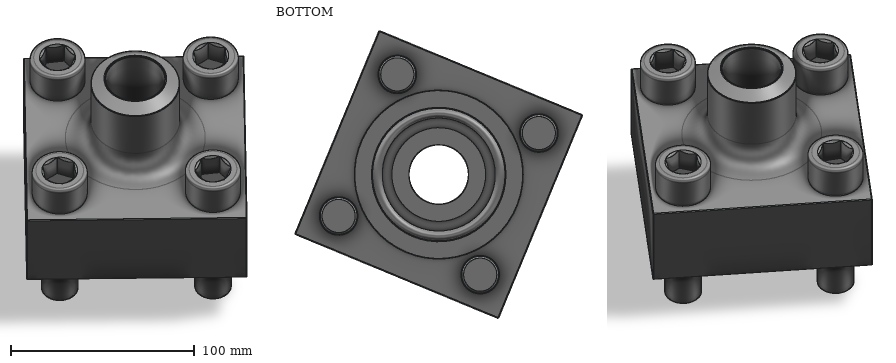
import cadquery as cq
import math

PATTERN_ANGLE = 22.5
FLANGE_SIDE = 120.0
FLANGE_HEIGHT = 48.0
EDGE_CHAMFER = 0.5

FACE_DIAMETER = 92.0
FACE_HEIGHT = 2.0

PIPE_DIAMETER = 48.3
BORE_DIAMETER = 32.2
PIPE_HEIGHT = 48.0
NECK_FILLET = 14.0
BEVEL_RIM_DIAMETER = 34.1
BEVEL_ANGLE = 30
EDGE_BREAK = 0.3

GROOVE_OUTER_DIAMETER = 73.2
GROOVE_INNER_DIAMETER = 51.0
SEAL_INNER_DIAMETER = 61.5
SEAL_SECTION_DIAMETER = 5.3
SEAL_PROTRUSION = 1.3

BOLT_COUNT = 4
BOLT_CIRCLE_DIAMETER = 118.0
BOLT_HOLE_DIAMETER = 21.0
SHANK_DIAMETER = 20.0
SHANK_LENGTH = 75.0
SHANK_CHAMFER = 1.0
HEAD_DIAMETER = 30.0
HEAD_HEIGHT = 20.0
HEAD_FILLET = 2.0
SOCKET_WIDTH = 17.0
SOCKET_RIM_DIAMETER = 19.5
SOCKET_CONE_ANGLE = 45
SOCKET_DEPTH = 13.0

PIPE_RADIUS = PIPE_DIAMETER / 2
PIPE_TOP = FLANGE_HEIGHT + PIPE_HEIGHT
BEVEL_RIM_RADIUS = BEVEL_RIM_DIAMETER / 2
BEVEL_HEIGHT = (PIPE_RADIUS - BEVEL_RIM_RADIUS) * math.tan(math.radians(BEVEL_ANGLE))

SEAL_SECTION_RADIUS = SEAL_SECTION_DIAMETER / 2
SEAL_CENTRE_RADIUS = SEAL_INNER_DIAMETER / 2 + SEAL_SECTION_RADIUS
SEAL_CENTRE_Z = SEAL_SECTION_RADIUS - SEAL_PROTRUSION - FACE_HEIGHT
GROOVE_DEPTH = SEAL_SECTION_DIAMETER - SEAL_PROTRUSION

FIRST_BOLT_ANGLE = PATTERN_ANGLE + 45
BOLT_ANGLES = [FIRST_BOLT_ANGLE + i * 360 / BOLT_COUNT for i in range(BOLT_COUNT)]


def make_block():
    """Square block with all its edges lightly chamfered."""
    block = cq.Workplane("XY").rect(FLANGE_SIDE, FLANGE_SIDE).extrude(FLANGE_HEIGHT)
    block = block.edges().chamfer(EDGE_CHAMFER)
    return block.rotate((0, 0, 0), (0, 0, 1), PATTERN_ANGLE)


def make_raised_face():
    """Round pad under the block, with its lower edge chamfered."""
    return (
        cq.Workplane("XY")
        .circle(FACE_DIAMETER / 2)
        .extrude(-FACE_HEIGHT)
        .edges("<Z")
        .chamfer(EDGE_BREAK)
    )


def make_neck():
    """Solid pipe stub: concave foot, straight wall and weld bevel, revolved about Z.

    The edge between the wall and the bevel is broken by a small chamfer.
    """
    foot_radius = PIPE_RADIUS + NECK_FILLET
    foot_top = FLANGE_HEIGHT + NECK_FILLET
    arc_reach = NECK_FILLET * (1 - math.sqrt(0.5))
    neck = (
        cq.Workplane("XZ")
        .moveTo(0, FLANGE_HEIGHT)
        .lineTo(foot_radius, FLANGE_HEIGHT)
        .threePointArc(
            (PIPE_RADIUS + arc_reach, FLANGE_HEIGHT + arc_reach),
            (PIPE_RADIUS, foot_top),
        )
        .lineTo(PIPE_RADIUS, PIPE_TOP - BEVEL_HEIGHT)
        .lineTo(BEVEL_RIM_RADIUS, PIPE_TOP)
        .lineTo(0, PIPE_TOP)
        .close()
        .revolve(360, (0, 0, 0), (0, 1, 0))
    )
    bevel_edge = cq.selectors.NearestToPointSelector((0, 0, PIPE_TOP - BEVEL_HEIGHT))
    return neck.edges("%CIRCLE").edges(bevel_edge).chamfer(EDGE_BREAK)


def make_flange():
    """Block, raised face and neck, with the bore, seal groove and bolt holes cut."""
    flange = make_block().union(make_raised_face()).union(make_neck())

    bore = (
        cq.Workplane("XY", origin=(0, 0, -FACE_HEIGHT))
        .circle(BORE_DIAMETER / 2)
        .extrude(FACE_HEIGHT + PIPE_TOP)
    )
    groove = (
        cq.Workplane("XY", origin=(0, 0, -FACE_HEIGHT))
        .circle(GROOVE_OUTER_DIAMETER / 2)
        .circle(GROOVE_INNER_DIAMETER / 2)
        .extrude(GROOVE_DEPTH)
    )
    bolt_holes = (
        cq.Workplane("XY", origin=(0, 0, -FACE_HEIGHT))
        .polarArray(BOLT_CIRCLE_DIAMETER / 2, FIRST_BOLT_ANGLE, 360, BOLT_COUNT)
        .circle(BOLT_HOLE_DIAMETER / 2)
        .extrude(FACE_HEIGHT + FLANGE_HEIGHT)
    )
    flange = flange.cut(bore).cut(groove).cut(bolt_holes)

    return flange.faces(">Z").edges(cq.selectors.RadiusNthSelector(0)).chamfer(EDGE_BREAK)


def make_seal():
    """Round-section ring resting against the groove roof and standing proud of the raised face."""
    return (
        cq.Workplane("XZ")
        .center(SEAL_CENTRE_RADIUS, SEAL_CENTRE_Z)
        .circle(SEAL_SECTION_RADIUS)
        .revolve(360, (-SEAL_CENTRE_RADIUS, 0, 0), (-SEAL_CENTRE_RADIUS, 1, 0))
    )


def make_socket():
    """Hexagonal socket with a conical lead-in, its mouth at the top of the bolt head."""
    corner_diameter = SOCKET_WIDTH / math.cos(math.radians(30))
    hexagon = (
        cq.Workplane("XY", origin=(0, 0, HEAD_HEIGHT))
        .polygon(6, corner_diameter)
        .extrude(-SOCKET_DEPTH)
    )
    rim_radius = SOCKET_RIM_DIAMETER / 2
    cone_depth = rim_radius * math.tan(math.radians(SOCKET_CONE_ANGLE))
    cone = cq.Workplane(
        cq.Solid.makeCone(0, rim_radius, cone_depth, cq.Vector(0, 0, HEAD_HEIGHT - cone_depth))
    )
    bounding_cylinder = (
        cq.Workplane("XY", origin=(0, 0, HEAD_HEIGHT))
        .circle(rim_radius)
        .extrude(-SOCKET_DEPTH)
    )
    return hexagon.intersect(bounding_cylinder).union(cone)


def make_bolt(angle):
    """Socket head bolt seated on the block, at the given angle on the bolt circle."""
    head = (
        cq.Workplane("XY")
        .circle(HEAD_DIAMETER / 2)
        .extrude(HEAD_HEIGHT)
        .edges()
        .fillet(HEAD_FILLET)
    )
    shank = (
        cq.Workplane("XY")
        .circle(SHANK_DIAMETER / 2)
        .extrude(-SHANK_LENGTH)
        .edges("<Z")
        .chamfer(SHANK_CHAMFER)
    )
    bolt = head.union(shank).cut(make_socket())
    return (
        bolt.rotate((0, 0, 0), (0, 0, 1), -FIRST_BOLT_ANGLE)
        .translate((BOLT_CIRCLE_DIAMETER / 2, 0, FLANGE_HEIGHT))
        .rotate((0, 0, 0), (0, 0, 1), angle)
    )


flange = make_flange()
seal = make_seal()
bolts = [make_bolt(angle) for angle in BOLT_ANGLES]

result = cq.Compound.makeCompound([flange.val(), seal.val(), *[bolt.val() for bolt in bolts]])